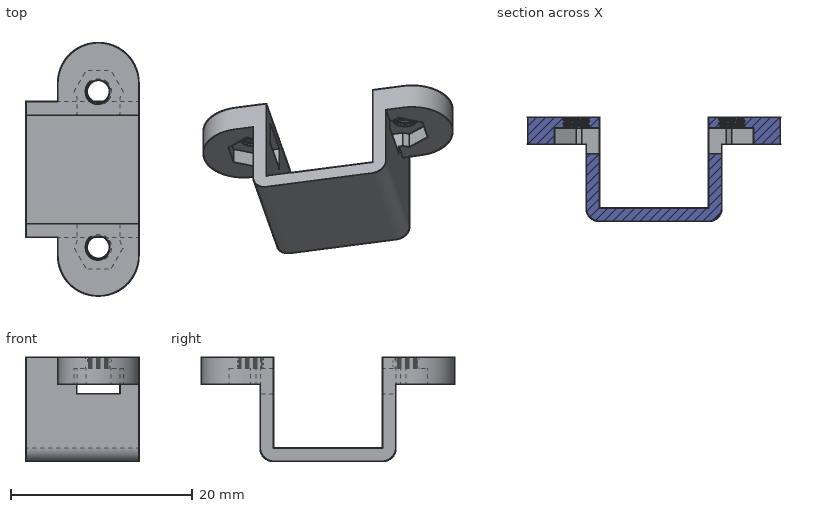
import cadquery as cq
import math

width = 12.5
height = 11.5
wall = 1.5
channel_outer = 15.0
channel_inner = channel_outer - 2 * wall

total_length = 28.0
ear_diameter = 9.0
ear_radius = ear_diameter / 2
ear_thickness = 3.0
ear_x = width / 2 - ear_radius
ear_arc_y = total_length / 2 - ear_radius

hole_y = 8.6
minor_diameter = 2.45
major_diameter = 2.85
thread_pitch = 0.5
groove_mouth = 0.4
groove_root = 0.08
groove_overlap = 0.05
thread_phase = 235.0

nut_flats = 4.73
nut_corners = nut_flats / math.cos(math.radians(30))
nut_ceiling = height - 1.2
nut_floor = height - 4.0


def make_channel():
    outer = cq.Workplane("XY").box(width, channel_outer, height, centered=(True, True, False))
    outer = outer.edges("|X and <Z").fillet(wall)
    cavity = cq.Workplane("XY").workplane(offset=wall).box(
        width, channel_inner, height, centered=(True, True, False)
    )
    return outer.cut(cavity)


def make_ear():
    """Ear on the +Y side, rooted in the wall's inner face."""
    root_y = channel_inner / 2
    return (
        cq.Workplane("XY", origin=(0, 0, height - ear_thickness))
        .moveTo(ear_x - ear_radius, root_y)
        .lineTo(ear_x - ear_radius, ear_arc_y)
        .threePointArc((ear_x, total_length / 2), (ear_x + ear_radius, ear_arc_y))
        .lineTo(ear_x + ear_radius, root_y)
        .close()
        .extrude(ear_thickness)
    )


def make_nut_trap():
    """Hexagon with corners pointing along X, extended through the +Y wall as a straight slot."""
    depth = nut_ceiling - nut_floor
    base = cq.Workplane("XY", origin=(ear_x, hole_y, nut_floor))
    hexagon = base.polygon(6, nut_corners).extrude(depth)
    entry_length = hole_y - channel_inner / 2
    entry = base.center(0, -entry_length / 2).rect(nut_flats, entry_length).extrude(depth)
    return hexagon.union(entry)


def make_screw_thread():
    """Cutter for the threaded hole: a core cylinder and a helical V-shaped groove."""
    minor_radius = minor_diameter / 2
    major_radius = major_diameter / 2
    hole_depth = height - nut_ceiling
    core = cq.Workplane("XY").circle(minor_radius).extrude(hole_depth)

    turns_below_top = math.ceil(hole_depth / thread_pitch)
    helix_height = (turns_below_top + 1) * thread_pitch
    helix = cq.Wire.makeHelix(thread_pitch, helix_height, minor_radius)
    groove = (
        cq.Workplane("XZ")
        .moveTo(minor_radius - groove_overlap, -groove_mouth / 2)
        .lineTo(major_radius, -groove_root / 2)
        .lineTo(major_radius, groove_root / 2)
        .lineTo(minor_radius - groove_overlap, groove_mouth / 2)
        .close()
        .sweep(cq.Workplane(helix), isFrenet=True)
        .rotate((0, 0, 0), (0, 0, 1), thread_phase)
        .translate((0, 0, hole_depth - turns_below_top * thread_pitch))
    )
    hole_zone = cq.Workplane("XY").circle(ear_radius).extrude(hole_depth)
    return core.union(groove.intersect(hole_zone))


result = make_channel()
ear = make_ear()
nut_trap = make_nut_trap()
screw_thread = make_screw_thread()

result = result.union(ear).union(ear.mirror("XZ"))
result = result.cut(nut_trap).cut(nut_trap.mirror("XZ"))
for side in (-1, 1):
    result = result.cut(screw_thread.translate((ear_x, side * hole_y, nut_ceiling)))